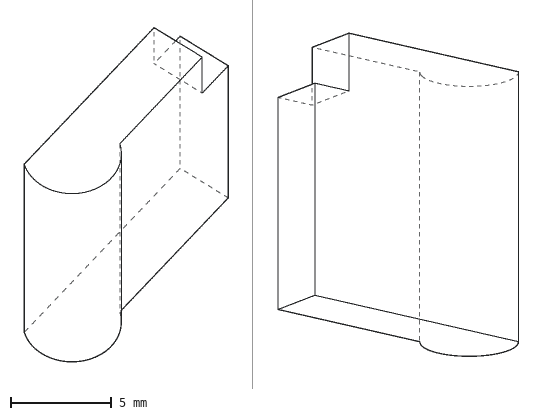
import cadquery as cq
import math

height = 14.0
slab_thickness = 3.0
bead_radius = 2.45
overall_length = 13.24
notch_length = 2.13
notch_depth = 3.0

half_thickness = slab_thickness / 2
slab_back = overall_length - bead_radius
arc_end = math.sqrt(bead_radius**2 - half_thickness**2)


def make_body():
    """Slab whose front edge swells into a bead on the +X side only."""
    arc_middle = (arc_end, -half_thickness)
    return (
        cq.Workplane("XY")
        .moveTo(-half_thickness, slab_back)
        .lineTo(-half_thickness, -arc_end)
        .threePointArc(arc_middle, (half_thickness, arc_end))
        .lineTo(half_thickness, slab_back)
        .close()
        .extrude(height)
    )


def make_notch():
    """Block removed across the full thickness at the top back corner."""
    return (
        cq.Workplane("XY")
        .box(slab_thickness, notch_length, notch_depth, centered=(True, False, False))
        .translate((0, slab_back - notch_length, height - notch_depth))
    )


result = make_body().cut(make_notch())